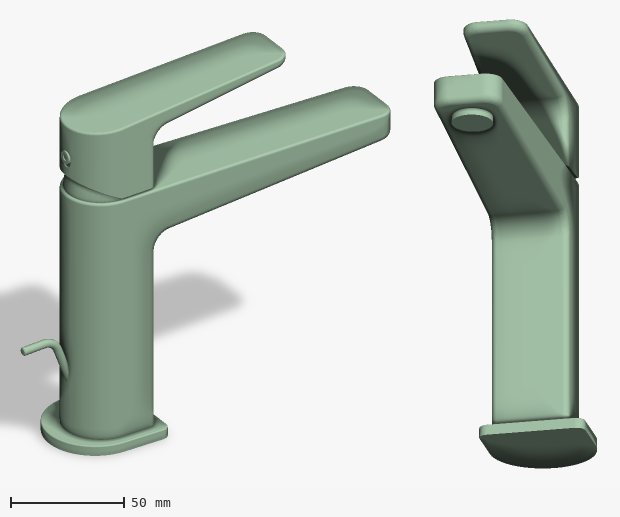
import cadquery as cq
import math

SPOUT_TIP_Y = 145.9
ROD_TIP_Y = -40.9
HANDLE_TOP_Z = 169.0

BASE_WIDTH = 48.0
BASE_HEIGHT = 4.9
BASE_FRONT_Y = 22.8
BASE_ARC_CENTRE = (-1.5, -1.9)
BASE_CORNER_RADIUS = 4.1
BASE_EDGE_FILLET = 0.5

COLUMN_RADIUS = 18.0
COLUMN_FRONT_Y = 18.0
THROAT_RADIUS = 8.4
LOWER_EDGE_FILLET = 2.8
PROFILE_MARGIN = 9.3
STOCK_HALF_WIDTH = COLUMN_RADIUS + PROFILE_MARGIN

BODY_TOP_Z = 124.2
BODY_TOP_FILLET = 1.1
SPOUT_TAPER = 1.0
SPOUT_CORNER_RADIUS = 7.8
SPOUT_ROOT_Z = 100.9
SPOUT_RISE_ANGLE = 4.6

OUTLET_RADIUS = 9.2
OUTLET_CENTRE_Y = 130.2
OUTLET_PROJECTION = 3.2

BONNET_RADIUS = 16.5
BONNET_RIM_HEIGHT = 0.5

HANDLE_TIP_Y = 91.3
HANDLE_BOTTOM_Z = 125.7
HANDLE_REAR_BOTTOM_Z = 134.3
HANDLE_TAPER = 2.3
HANDLE_CORNER_RADIUS = 7.7
HANDLE_TOP_ANGLE = 5.0
HANDLE_ROOT_Z = 153.7
HANDLE_RISE_ANGLE = 8.2
HANDLE_TOP_FILLET = 1.0

BUTTON_RADIUS = 3.2
BUTTON_Z = 143.6
BUTTON_PROJECTION = 0.7
BUTTON_DIMPLE_RADIUS = 1.5
BUTTON_DIMPLE_DEPTH = 0.5
BUTTON_RELIEF_DROP = 1.7
BUTTON_RELIEF_DEPTH = 0.7

ROD_RADIUS = 1.96
ROD_CORNER = (-24.5, 52.7)
ROD_BEND_RADIUS = 7.3
ROD_STEEP_ANGLE = 69.0
ROD_DROOP_ANGLE = 3.0
ROD_BURIED_END_Y = -12.7
ROD_TIP_CHAMFER = 0.4


def tangent(degrees):
    return math.tan(math.radians(degrees))


def tapered_prism(tip_y, taper, corner_radius, bottom_z, top_z):
    """Upright prism: half round at the back, sides tapering to a flat tip with rounded corners."""
    angle = math.radians(taper)
    tangent_x = COLUMN_RADIUS * math.cos(angle)
    tangent_y = COLUMN_RADIUS * math.sin(angle)
    tip_x = tangent_x - (tip_y - tangent_y) * math.tan(angle)
    return (
        cq.Workplane("XY", origin=(0, 0, bottom_z))
        .moveTo(-tip_x, tip_y)
        .lineTo(-tangent_x, tangent_y)
        .threePointArc((0, -COLUMN_RADIUS), (tangent_x, tangent_y))
        .lineTo(tip_x, tip_y)
        .close()
        .extrude(top_z - bottom_z)
        .edges("|Z and >Y")
        .fillet(corner_radius)
    )


def arm_profile(points, throat_z):
    """Side profile in (Y, Z) made into a wide slab, with the throat under the arm rounded."""
    throat = cq.selectors.NearestToPointSelector((0, COLUMN_FRONT_Y, throat_z))
    return (
        cq.Workplane("YZ")
        .polyline(points)
        .close()
        .extrude(STOCK_HALF_WIDTH, both=True)
        .edges("|X")
        .edges(throat)
        .fillet(THROAT_RADIUS)
    )


def fillet_chain(shape, point, radius):
    """Round the edge nearest to a point; the rounding follows all edges tangent to it."""
    return shape.edges(cq.selectors.NearestToPointSelector(point)).fillet(radius)


def make_base():
    centre_x, centre_y = BASE_ARC_CENTRE
    half_width = BASE_WIDTH / 2
    return (
        cq.Workplane("XY")
        .moveTo(centre_x - half_width, BASE_FRONT_Y)
        .lineTo(centre_x - half_width, centre_y)
        .threePointArc((centre_x, centre_y - half_width), (centre_x + half_width, centre_y))
        .lineTo(centre_x + half_width, BASE_FRONT_Y)
        .close()
        .extrude(BASE_HEIGHT)
        .edges("|Z and >Y")
        .fillet(BASE_CORNER_RADIUS)
        .faces(">Z")
        .edges()
        .fillet(BASE_EDGE_FILLET)
    )


def spout_underside_z(y):
    return SPOUT_ROOT_Z + (y - COLUMN_FRONT_Y) * tangent(SPOUT_RISE_ANGLE)


def make_outlet():
    """Short cylinder square to the sloping underside, starting half inside the spout."""
    centre = cq.Vector(0, OUTLET_CENTRE_Y, spout_underside_z(OUTLET_CENTRE_Y))
    slope = math.radians(SPOUT_RISE_ANGLE)
    down = cq.Vector(0, math.sin(slope), -math.cos(slope))
    start = centre - down * OUTLET_PROJECTION
    return cq.Workplane(cq.Solid.makeCylinder(OUTLET_RADIUS, 2 * OUTLET_PROJECTION, start, down))


def make_body(rod):
    rear_y = -COLUMN_RADIUS - PROFILE_MARGIN
    front_y = SPOUT_TIP_Y + PROFILE_MARGIN
    profile = arm_profile(
        [
            (rear_y, BASE_HEIGHT),
            (COLUMN_FRONT_Y, BASE_HEIGHT),
            (COLUMN_FRONT_Y, SPOUT_ROOT_Z),
            (front_y, spout_underside_z(front_y)),
            (front_y, BODY_TOP_Z),
            (rear_y, BODY_TOP_Z),
        ],
        SPOUT_ROOT_Z,
    )
    prism = tapered_prism(SPOUT_TIP_Y, SPOUT_TAPER, SPOUT_CORNER_RADIUS, BASE_HEIGHT, BODY_TOP_Z)
    body = prism.intersect(profile)
    body = fillet_chain(body, (0, SPOUT_TIP_Y, spout_underside_z(SPOUT_TIP_Y)), LOWER_EDGE_FILLET)
    body = body.faces(">Z").edges().fillet(BODY_TOP_FILLET)
    return body.union(make_outlet()).cut(rod)


def make_bonnet():
    """Hemisphere on a thin rim, standing on the body and filling a matching pocket in the handle."""
    rim_top_z = BODY_TOP_Z + BONNET_RIM_HEIGHT
    mid_arc = BONNET_RADIUS * math.sqrt(0.5)
    return (
        cq.Workplane("XZ")
        .moveTo(0, BODY_TOP_Z)
        .lineTo(BONNET_RADIUS, BODY_TOP_Z)
        .lineTo(BONNET_RADIUS, rim_top_z)
        .threePointArc((mid_arc, rim_top_z + mid_arc), (0, rim_top_z + BONNET_RADIUS))
        .close()
        .revolve(360, (0, 0), (0, 1))
    )


def add_button(handle):
    """Round button standing out of the back of the handle, with a shallow dimple in its end.

    A round relief of the same size, set a little lower, leaves a crescent under the button.
    """
    face_y = -COLUMN_RADIUS - BUTTON_PROJECTION
    end_plane = cq.Workplane("XZ", origin=(0, face_y, BUTTON_Z))
    button = end_plane.circle(BUTTON_RADIUS).extrude(-2 * BUTTON_PROJECTION)
    dimple = end_plane.circle(BUTTON_DIMPLE_RADIUS).extrude(-BUTTON_DIMPLE_DEPTH)
    relief = (
        end_plane.center(0, -BUTTON_RELIEF_DROP)
        .circle(BUTTON_RADIUS)
        .extrude(-BUTTON_PROJECTION - BUTTON_RELIEF_DEPTH)
    )
    return handle.cut(relief).union(button).cut(dimple)


def make_handle(bonnet):
    def top_z(y):
        return HANDLE_TOP_Z - (HANDLE_TIP_Y - y) * tangent(HANDLE_TOP_ANGLE)

    def underside_z(y):
        return HANDLE_ROOT_Z + (y - COLUMN_FRONT_Y) * tangent(HANDLE_RISE_ANGLE)

    profile = arm_profile(
        [
            (-COLUMN_RADIUS, HANDLE_REAR_BOTTOM_Z),
            (0, HANDLE_BOTTOM_Z),
            (COLUMN_FRONT_Y, HANDLE_BOTTOM_Z),
            (COLUMN_FRONT_Y, HANDLE_ROOT_Z),
            (HANDLE_TIP_Y, underside_z(HANDLE_TIP_Y)),
            (HANDLE_TIP_Y, top_z(HANDLE_TIP_Y)),
            (-COLUMN_RADIUS, top_z(-COLUMN_RADIUS)),
        ],
        HANDLE_ROOT_Z,
    )
    prism = tapered_prism(
        HANDLE_TIP_Y, HANDLE_TAPER, HANDLE_CORNER_RADIUS, HANDLE_BOTTOM_Z, HANDLE_TOP_Z
    )
    handle = prism.intersect(profile)
    handle = fillet_chain(handle, (0, HANDLE_TIP_Y, underside_z(HANDLE_TIP_Y)), LOWER_EDGE_FILLET)
    handle = fillet_chain(handle, (0, HANDLE_TIP_Y, HANDLE_TOP_Z), HANDLE_TOP_FILLET)
    return add_button(handle.cut(bonnet))


def make_rod():
    """Bent round rod: a steep leg rising out of the column, then a bend and a nearly level grip."""
    corner_y, corner_z = ROD_CORNER
    steep = math.radians(ROD_STEEP_ANGLE)
    droop = math.radians(ROD_DROOP_ANGLE)
    setback = ROD_BEND_RADIUS * math.tan((steep + droop) / 2)
    bend_start = (corner_y + setback * math.cos(steep), corner_z - setback * math.sin(steep))
    bend_end = (corner_y - setback * math.cos(droop), corner_z - setback * math.sin(droop))
    buried_end = (ROD_BURIED_END_Y, corner_z - (ROD_BURIED_END_Y - corner_y) * math.tan(steep))
    tip_y = ROD_TIP_Y + (ROD_RADIUS - ROD_TIP_CHAMFER) * math.sin(droop)
    tip = (tip_y, corner_z - (corner_y - tip_y) * math.tan(droop))
    path = (
        cq.Workplane("YZ")
        .moveTo(*buried_end)
        .lineTo(*bend_start)
        .tangentArcPoint(bend_end, relative=False)
        .lineTo(*tip)
    )
    section_plane = cq.Plane(
        origin=(0, *buried_end), xDir=(1, 0, 0), normal=(0, -math.cos(steep), math.sin(steep))
    )
    rod = cq.Workplane(section_plane).circle(ROD_RADIUS).sweep(path)
    return rod.faces("<Y").edges().chamfer(ROD_TIP_CHAMFER)


base = make_base()
rod = make_rod()
body = make_body(rod)
bonnet = make_bonnet()
handle = make_handle(bonnet)

result = cq.Compound.makeCompound([base.val(), body.val(), bonnet.val(), handle.val(), rod.val()])